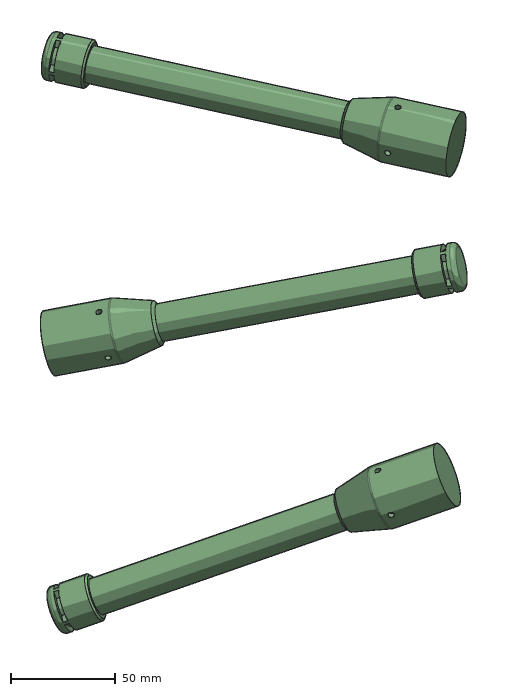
import cadquery as cq
import math

total_length = 206.25
socket_radius = 16.0

head_radius = 12.0
head_length = 21.75
head_fillet = 2.5
head_chamfer = 1.0

slot_start = 4.5
slot_width = 2.5
slot_floor_radius = 9.25
slot_overcut = 1.0
bridge_width = 1.9
bridge_flank_angle = 30.0
bridge_count = 4

stem_radius = 9.25

flare_start = 150.75
lip_length = 1.5
lip_radius = 11.1

socket_start = 172.25
edge_break_length = 0.75
edge_break_height = 0.1

hole_count = 4
hole_diameter = 3.0
hole_setback = 4.65
hole_depth = 3.0


def make_body():
    """Revolve the half outline of the whole part about the X axis."""
    fillet_mid_offset = head_fillet * (1 - math.sqrt(0.5))
    outline = (
        cq.Workplane("XZ")
        .moveTo(0, 0)
        .lineTo(0, head_radius - head_fillet)
        .threePointArc(
            (fillet_mid_offset, head_radius - fillet_mid_offset),
            (head_fillet, head_radius),
        )
        .lineTo(head_length - head_chamfer, head_radius)
        .lineTo(head_length, head_radius - head_chamfer)
        .lineTo(head_length, stem_radius)
        .lineTo(flare_start, stem_radius)
        .lineTo(flare_start + lip_length, lip_radius)
        .lineTo(socket_start - edge_break_length, socket_radius - edge_break_height)
        .lineTo(socket_start, socket_radius)
        .lineTo(total_length, socket_radius)
        .lineTo(total_length, 0)
        .close()
    )
    return outline.revolve(360, (0, 0, 0), (1, 0, 0))


def make_grip_slots():
    """Ring groove interrupted by tapered bridges that are narrowest at the outside."""
    start_plane = cq.Workplane("YZ", origin=(slot_start, 0, 0))
    slots = (
        start_plane
        .circle(head_radius + slot_overcut)
        .circle(slot_floor_radius)
        .extrude(slot_width)
    )

    half_tip = bridge_width / 2
    half_root = half_tip + head_radius * math.tan(math.radians(bridge_flank_angle))
    bridge = (
        start_plane
        .polyline([
            (-half_root, 0),
            (half_root, 0),
            (half_tip, head_radius),
            (half_tip, head_radius + 2 * slot_overcut),
            (-half_tip, head_radius + 2 * slot_overcut),
            (-half_tip, head_radius),
        ])
        .close()
        .extrude(slot_width)
    )
    for i in range(bridge_count):
        slots = slots.cut(bridge.rotate((0, 0, 0), (1, 0, 0), i * 360 / bridge_count))
    return slots


def make_socket_holes():
    """Blind radial holes spaced evenly around the socket."""
    hole = (
        cq.Workplane("XY", origin=(socket_start + hole_setback, 0, socket_radius - hole_depth))
        .circle(hole_diameter / 2)
        .extrude(2 * hole_depth)
    )
    holes = cq.Workplane("XY")
    for i in range(hole_count):
        holes = holes.add(hole.rotate((0, 0, 0), (1, 0, 0), i * 360 / hole_count))
    return holes.combine()


result = make_body().cut(make_grip_slots()).cut(make_socket_holes())